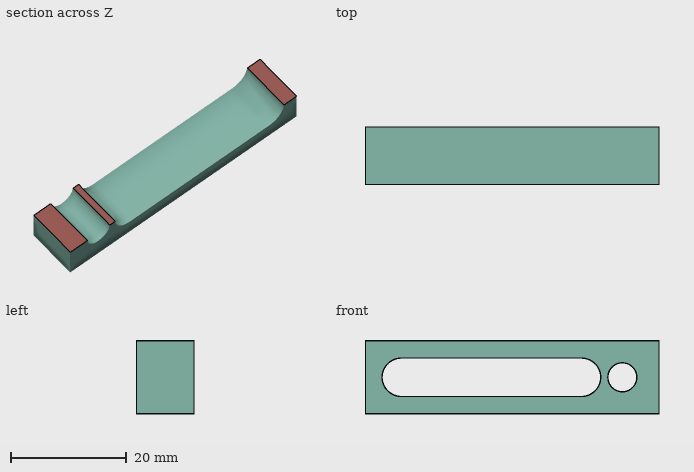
import cadquery as cq

length = 50.8
depth = 10.0
height = 12.7

slot_length = 37.8
slot_width = 6.6
slot_end_wall = 2.9

hole_diameter = 5.0
hole_end_distance = 6.35

slot_x = -length / 2 + slot_end_wall + slot_length / 2
hole_x = length / 2 - hole_end_distance

bar = cq.Workplane("XY").box(length, depth, height)

slotted_bar = (
    bar.faces("<Y").workplane(origin=(0, 0, 0))
    .center(slot_x, 0)
    .slot2D(slot_length, slot_width)
    .cutThruAll()
)

result = (
    slotted_bar.faces("<Y").workplane(origin=(0, 0, 0))
    .center(hole_x, 0)
    .hole(hole_diameter)
)